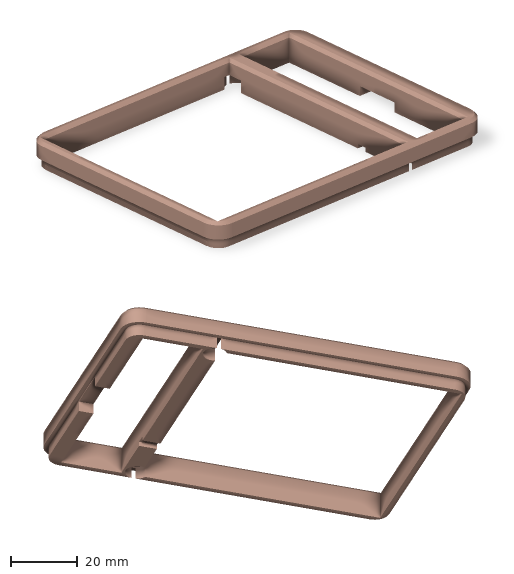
import cadquery as cq

width = 83.1
length = 110.6
height = 9.4
corner_radius = 6.0
edge_chamfer = 1.0

lip_height = 3.7
lip_inset = 1.5

window_width = 76.3
upper_window_top = 49.1
upper_window_bottom = 30.1
lower_window_top = 24.5
lower_window_bottom = -52

pocket_radius = 3.7
pocket_depth = 4.2
pocket_x = 36.4
pocket_y = 25.7

bar_notch_width = 3.3
bar_notch_height = 1.4
bar_notch_x = 19.9

rail_notch_width = 15.3
rail_notch_height = 3.3
rail_notch_x = 0.4

bead_height = 1.5
bead_depth = 0.1


def frame_body():
    """Rounded slab with a chamfered top and a narrower lip below."""
    slab = (
        cq.Workplane("XY", origin=(0, 0, lip_height))
        .rect(width, length)
        .extrude(height - lip_height)
        .edges("|Z")
        .fillet(corner_radius)
        .faces(">Z")
        .chamfer(edge_chamfer)
    )
    lip = (
        cq.Workplane("XY")
        .rect(width - 2 * lip_inset, length - 2 * lip_inset)
        .extrude(lip_height)
        .edges("|Z")
        .fillet(corner_radius - lip_inset)
    )
    return slab.union(lip)


def window(bottom, top):
    """Rectangular through cutter that widens at 45 degrees to the top face."""
    depth = top - bottom
    center_y = (top + bottom) / 2
    opening = cq.Workplane("XY", origin=(0, center_y, 0)).rect(window_width, depth).extrude(height)
    bevel = (
        cq.Workplane("XY", origin=(0, center_y, height - edge_chamfer))
        .rect(window_width, depth)
        .workplane(offset=edge_chamfer)
        .rect(window_width + 2 * edge_chamfer, depth + 2 * edge_chamfer)
        .loft(ruled=True)
    )
    return opening.union(bevel)


def underside_notch(center_x, notch_width, start_y, end_y, notch_height):
    """Box cutter rising from the underside between two Y positions."""
    return (
        cq.Workplane("XY", origin=(center_x, (start_y + end_y) / 2, 0))
        .rect(notch_width, end_y - start_y)
        .extrude(notch_height)
    )


result = frame_body()
result = result.cut(window(upper_window_bottom, upper_window_top))
result = result.cut(window(lower_window_bottom, lower_window_top))

for side in (-1, 1):
    pocket = (
        cq.Workplane("XY", origin=(side * pocket_x, pocket_y, 0))
        .circle(pocket_radius)
        .extrude(pocket_depth)
    )
    result = result.cut(pocket)

bar_notch = underside_notch(
    bar_notch_x, bar_notch_width, lower_window_top, upper_window_bottom, bar_notch_height
)
rail_notch = underside_notch(
    rail_notch_x, rail_notch_width, upper_window_top, length / 2, rail_notch_height
)
lip_front = -length / 2 + lip_inset
latch_bead = (
    cq.Workplane("XY", origin=(0, lip_front - bead_depth / 2, 0))
    .rect(width - 2 * corner_radius, bead_depth)
    .extrude(bead_height)
)
result = result.cut(bar_notch).cut(rail_notch).union(latch_bead)